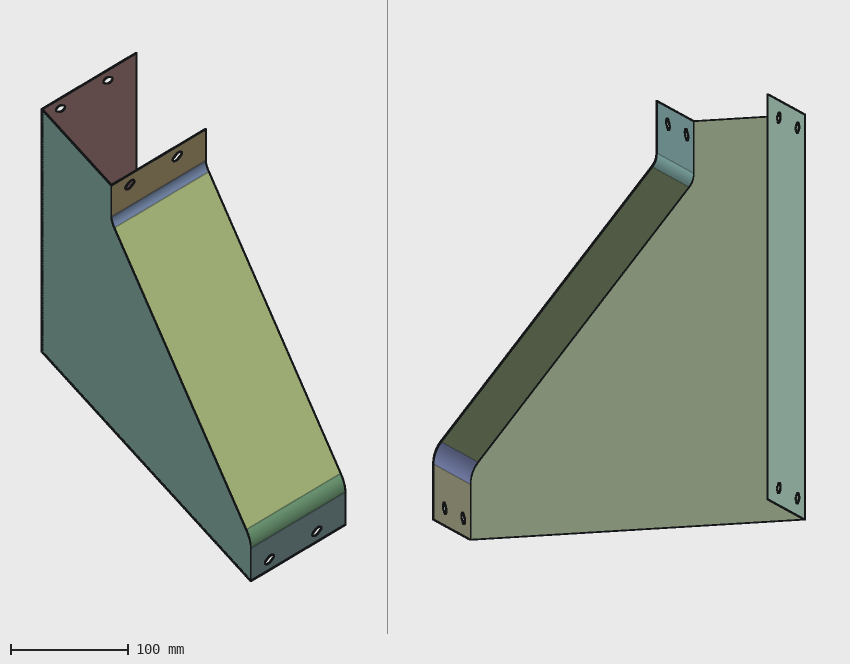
import cadquery as cq

width = 300.0
depth = 100.0
height = 350.0
sheet = 0.8

neck_width = 100.0
neck_height = 51.5
low_wall_height = 58.8
neck_bend_radius = 17.5
shoulder_radius = 30.0

slot_length = 11.0
slot_width = 7.0
slot_tilt = 45
slot_end_distance = 15.0
slot_first_y = 20.0
slot_pitch = 50.0


def side_profile():
    """Solid block with the outer outline of the duct and rounded side bends."""
    outline = [
        (0, 0),
        (width, 0),
        (width, low_wall_height),
        (neck_width, height - neck_height),
        (neck_width, height),
        (0, height),
    ]
    block = cq.Workplane("XZ").polyline(outline).close().extrude(-depth)
    shoulder = cq.selectors.NearestToPointSelector((width, depth / 2, low_wall_height))
    neck_bend = cq.selectors.NearestToPointSelector((neck_width, depth / 2, height - neck_height))
    block = block.edges(shoulder).fillet(shoulder_radius)
    return block.edges(neck_bend).fillet(neck_bend_radius)


def folded_sheet():
    """Front panel and two side walls, open at the back, top and bottom."""
    return side_profile().faces("<Z or >Z or >Y").shell(-sheet)


def slot_cutters(start_x, length_x, tilt):
    """Four tilted slots, two near each end, cut along X over the given stretch."""
    centres = [
        (slot_first_y + column * slot_pitch, z)
        for column in range(2)
        for z in (slot_end_distance, height - slot_end_distance)
    ]
    plane = cq.Workplane("YZ", origin=(start_x, 0, 0))
    return plane.pushPoints(centres).slot2D(slot_length, slot_width, tilt).extrude(length_x)


mid_neck = neck_width / 2
straight_wall_slots = slot_cutters(0, mid_neck, -slot_tilt)
stepped_wall_slots = slot_cutters(mid_neck, width - mid_neck, slot_tilt)

result = folded_sheet().cut(straight_wall_slots).cut(stepped_wall_slots)